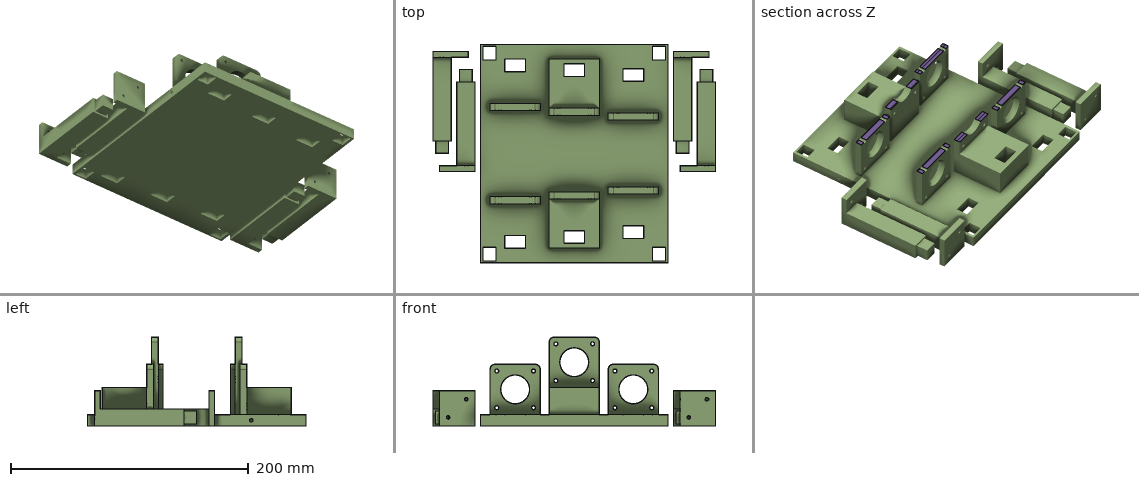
import cadquery as cq

OVERALL_LENGTH = 238.0
PLATE_X = 158.0
PLATE_Y = 184.0
PLATE_Z = 9.8

TOTAL_HEIGHT = 75.0
MOUNT_SIZE = 42.4
MOUNT_THICKNESS = 6.0
MOUNT_CORNER_RADIUS = 4.3
MOUNT_SPACING_X = 49.7
MOUNT_STAGGER_Y = 4.0
MIDDLE_MOUNT_Y = 35.2
BORE_DIAMETER = 24.0
SCREW_DIAMETER = 3.0
SCREW_SPACING = 31.0

BLOCK_X = MOUNT_SIZE
BLOCK_Y = 47.4
BLOCK_TOP = TOTAL_HEIGHT - MOUNT_SIZE

WINDOW_X = 17.1
WINDOW_Y = 10.5
MOUNT_TO_WINDOW = 35.0

SOCKET_X = 10.7
SOCKET_Y = 11.5
SOCKET_MARGIN_X = 2.4
SOCKET_MARGIN_Y = 1.7

EDGE_HOLE_DIAMETER = 2.9
EDGE_HOLE_DEPTH = 10.0
EDGE_HOLE_Y = 46.0

FLANGE_SIZE = 30.0
FLANGE_THICKNESS = 5.0
FLANGE_HOLE_DIAMETER = 2.9
FLANGE_HOLE_MARGIN = 7.4
BAR_X = 15.5
BAR_Z = 14.5
BAR_LENGTH = 70.5
PEG_X = 11.0
PEG_Z = 11.2
PEG_LENGTH = 10.5

LEG_PAIR_X = 35.5
LEG_PAIR_CENTRE_Y = 35.5
LEG_PAIR_Y = 101.2


def box(size_x, size_y, size_z, x, y, z):
    """Box centred on x and y, rising from z."""
    return cq.Workplane().box(size_x, size_y, size_z, centered=(True, True, False)).translate((x, y, z))


def make_mount(x, y, base_z):
    """Upright plate with a motor bore, four screw holes and rounded top corners."""
    body = box(MOUNT_SIZE, MOUNT_THICKNESS, MOUNT_SIZE, 0, 0, 0)
    body = body.edges("|Y and >Z").fillet(MOUNT_CORNER_RADIUS)
    face = cq.Workplane("XZ", origin=(0, MOUNT_THICKNESS / 2, MOUNT_SIZE / 2))
    bore = face.circle(BORE_DIAMETER / 2).extrude(MOUNT_THICKNESS)
    screws = face.rect(SCREW_SPACING, SCREW_SPACING, forConstruction=True).vertices()
    screws = screws.circle(SCREW_DIAMETER / 2).extrude(MOUNT_THICKNESS)
    return body.cut(bore).cut(screws).translate((x, y, base_z))


def add_motor_stations(base):
    """Add the six mounts with their windows, and a block under each middle mount."""
    block_y = MIDDLE_MOUNT_Y - MOUNT_THICKNESS / 2 + BLOCK_Y / 2
    for side in (-1, 1):
        base = base.union(box(BLOCK_X, BLOCK_Y, BLOCK_TOP, 0, side * block_y, 0))
        for column in (-1, 0, 1):
            x = column * MOUNT_SPACING_X
            y = MIDDLE_MOUNT_Y - column * MOUNT_STAGGER_Y
            foot_z = BLOCK_TOP if column == 0 else PLATE_Z
            base = base.union(make_mount(x, side * y, foot_z))
            base = base.cut(box(WINDOW_X, WINDOW_Y, BLOCK_TOP, x, side * (y + MOUNT_TO_WINDOW), 0))
    return base


def cut_corner_sockets(base):
    """Cut a rectangular socket through each corner of the plate."""
    socket_x = PLATE_X / 2 - SOCKET_MARGIN_X - SOCKET_X / 2
    socket_y = PLATE_Y / 2 - SOCKET_MARGIN_Y - SOCKET_Y / 2
    for side_x in (-1, 1):
        for side_y in (-1, 1):
            base = base.cut(box(SOCKET_X, SOCKET_Y, PLATE_Z, side_x * socket_x, side_y * socket_y, 0))
    return base


def drill_edge_holes(base):
    """Drill two blind holes into each of the plate's -X and +X edges."""
    for side_x in (-1, 1):
        for side_y in (-1, 1):
            mouth = cq.Workplane("YZ", origin=(side_x * PLATE_X / 2, side_y * EDGE_HOLE_Y, PLATE_Z / 2))
            base = base.cut(mouth.circle(EDGE_HOLE_DIAMETER / 2).extrude(-side_x * EDGE_HOLE_DEPTH))
    return base


def make_base():
    """Plate with its mounts, blocks, windows, sockets and edge holes as one solid."""
    base = box(PLATE_X, PLATE_Y, PLATE_Z, 0, 0, 0)
    base = add_motor_stations(base)
    base = cut_corner_sockets(base)
    return drill_edge_holes(base)


def make_leg():
    """Leg along +Y, with its flange's outer bottom corner at the origin and the flange toward -X."""
    flange = box(FLANGE_SIZE, FLANGE_THICKNESS, FLANGE_SIZE, -FLANGE_SIZE / 2, FLANGE_THICKNESS / 2, 0)
    low = FLANGE_HOLE_MARGIN
    high = FLANGE_SIZE - FLANGE_HOLE_MARGIN
    holes = cq.Workplane("XZ").pushPoints([(-high, low), (-low, high)])
    flange = flange.cut(holes.circle(FLANGE_HOLE_DIAMETER / 2).extrude(-FLANGE_THICKNESS))

    bar_end = FLANGE_THICKNESS + BAR_LENGTH
    bar = box(BAR_X, BAR_LENGTH, BAR_Z, -BAR_X / 2, FLANGE_THICKNESS + BAR_LENGTH / 2, 0)
    peg = box(PEG_X, PEG_LENGTH, PEG_Z, -BAR_X / 2, bar_end + PEG_LENGTH / 2, (BAR_Z - PEG_Z) / 2)
    return flange.union(bar).union(peg)


def make_legs():
    """Two legs on each side of the plate, the second turned half a turn about the pair's centre."""
    legs = []
    pair_x = (OVERALL_LENGTH - LEG_PAIR_X) / 2
    for side in (-1, 1):
        for turn in (0, 180):
            leg = make_leg().translate((LEG_PAIR_X / 2, -LEG_PAIR_Y / 2, 0))
            leg = leg.rotate((0, 0, 0), (0, 0, 1), turn)
            legs.append(leg.translate((side * pair_x, LEG_PAIR_CENTRE_Y, 0)))
    return legs


base = make_base()
legs = make_legs()
result = cq.Compound.makeCompound([base.val(), *[leg.val() for leg in legs]])